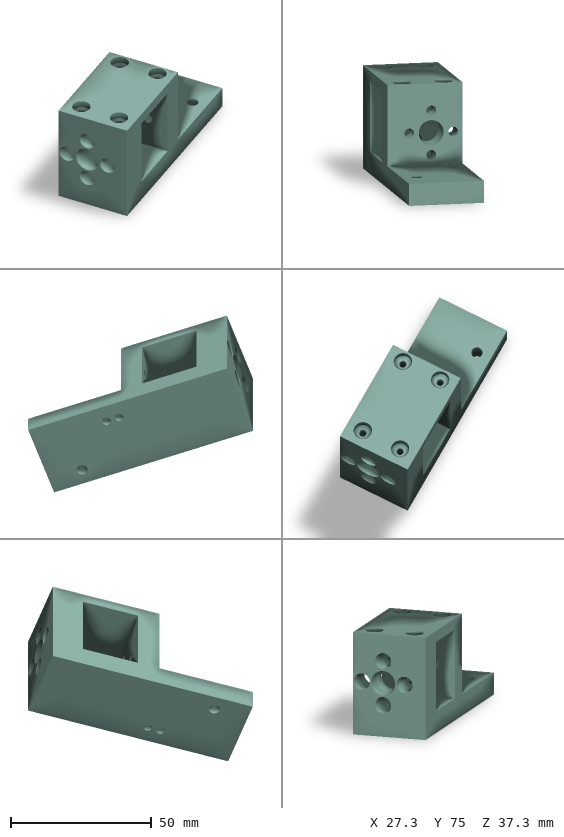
import cadquery as cq
import math

width = 27.3
base_length = 75.0
base_height = 7.95
wall_height = 25.35
cover_height = 4.0
cover_length = 40.05
front_wall_thickness = 11.4
rear_wall_thickness = 8.1

small_hole_diameter = 3.0
small_hole_x = 6.0
small_hole_ys = (42.8, 47.55)
large_hole_diameter = 4.0
large_hole_x = 21.8
large_hole_y = 62.5

bore_diameter = 9.0
bore_x = 11.4
bore_z = 19.5
bolt_offset = 8.0
access_hole_diameter = 6.0
bolt_hole_diameter = 3.5

screw_hole_diameter = 2.5
screw_head_diameter = 6.5
screw_head_depth = 2.5
screw_hole_depth = 10.0
drill_tip_angle = 118.0
screw_x = 6.15
screw_spacing_x = 15.0
front_screw_y = 5.8
rear_screw_y = 36.0

wall_top = base_height + wall_height
rear_wall_y = cover_length - rear_wall_thickness
screw_xs = (screw_x, screw_x + screw_spacing_x)


def block(length, height, y, z):
    """Full-width block whose lower front left corner is at (0, y, z)."""
    return cq.Workplane("XY").box(width, length, height, centered=False).translate((0, y, z))


def cylinder_along_y(diameter, length, x, y, z):
    return cq.Solid.makeCylinder(diameter / 2, length, cq.Vector(x, y, z), cq.Vector(0, 1, 0))


def cylinder_down(diameter, depth, x, y, top):
    return cq.Solid.makeCylinder(diameter / 2, depth, cq.Vector(x, y, top), cq.Vector(0, 0, -1))


def drilled_hole(x, y):
    """Blind screw hole from the top of a wall, ending in a conical drill tip."""
    radius = screw_hole_diameter / 2
    tip_depth = radius / math.tan(math.radians(drill_tip_angle / 2))
    shaft = cylinder_down(screw_hole_diameter, screw_hole_depth, x, y, wall_top)
    tip_start = cq.Vector(x, y, wall_top - screw_hole_depth)
    tip = cq.Solid.makeCone(radius, 0, tip_depth, tip_start, cq.Vector(0, 0, -1))
    return shaft.fuse(tip)


def make_base():
    base = block(base_length, base_height, 0, 0)
    for y in small_hole_ys:
        base = base.cut(cylinder_down(small_hole_diameter, base_height, small_hole_x, y, base_height))
    return base.cut(
        cylinder_down(large_hole_diameter, base_height, large_hole_x, large_hole_y, base_height)
    )


def make_wall(y, thickness, surrounding_diameter, screw_y):
    """Upright wall with the bore, four holes around it and two screw holes in its top."""
    wall = block(thickness, wall_height, y, base_height)
    wall = wall.cut(cylinder_along_y(bore_diameter, thickness, bore_x, y, bore_z))
    for dx, dz in ((bolt_offset, 0), (-bolt_offset, 0), (0, bolt_offset), (0, -bolt_offset)):
        wall = wall.cut(
            cylinder_along_y(surrounding_diameter, thickness, bore_x + dx, y, bore_z + dz)
        )
    for x in screw_xs:
        wall = wall.cut(drilled_hole(x, screw_y))
    return wall


def make_cover():
    cover = block(cover_length, cover_height, 0, wall_top)
    cover_top = wall_top + cover_height
    for x in screw_xs:
        for y in (front_screw_y, rear_screw_y):
            cover = cover.cut(cylinder_down(screw_hole_diameter, cover_height, x, y, cover_top))
            cover = cover.cut(cylinder_down(screw_head_diameter, screw_head_depth, x, y, cover_top))
    return cover


base = make_base()
front_wall = make_wall(0, front_wall_thickness, access_hole_diameter, front_screw_y)
rear_wall = make_wall(rear_wall_y, rear_wall_thickness, bolt_hole_diameter, rear_screw_y)
cover = make_cover()

result = cq.Compound.makeCompound([base.val(), front_wall.val(), rear_wall.val(), cover.val()])